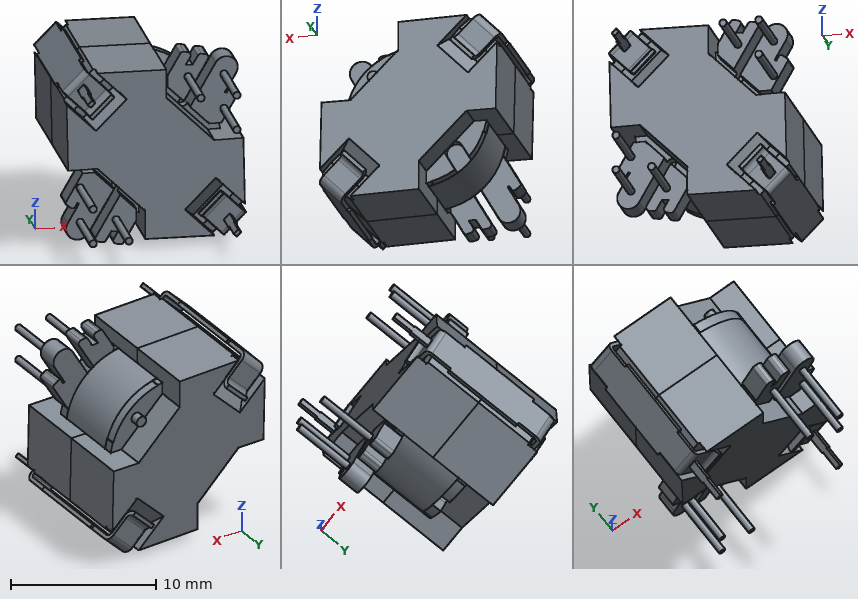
import cadquery as cq
import math


core_half_length = 5.32
arm_inner = 0.74
arm_tip = 6.17
arm_corner = 6.28
corner_inset = 4.25
waist_corner = 4.11
window_half_length = 3.14
post_radius = 2.5

seat_half_width = 1.53
ramp_start = 4.43
ramp_foot = (5.48, 4.53)
ridge = (6.44, 4.67)
seat_edge = (7.45, 4.48)
seat_overrun = 8.34

tube_radius = 2.78
flange_radius = 5.05
winding_radius = 5.0
winding_half_length = 2.42
block_depth = 1.61
pin_pitch = 2.53
pin_diameter = 0.51
pin_end = 8.37
peg_centre = 2.89
peg_diameter = 0.78
peg_height = 0.67

block_left = 1.1
block_low = 1.49
block_inner_sum = 5.5
finger_angle = 60.0
finger_1 = (-1.67, -0.9)
finger_2 = (-0.47, 0.3)
lobe = (0.92, 2.6)
hook = (2.72, 3.49)
finger_1_top = (7.06, 7.28)
finger_2_top = (7.45, 7.73)
lobe_centre_along = 7.37
hook_top = (6.31, 6.23)
finger_gap_floor = (6.34, 6.53)
hook_gap_floor = 5.78
finger_round = 0.25
hook_round = 0.2
slot_start = 3.7
wide_slot_edge = 1.6

sheet = 0.3
strap_outer = 8.06
strap_half_width = 1.08
wide_half_width = 1.29
wide_half_length = 3.02
leg_height = 5.12
lip_height = 5.53
front_bend_radius = 0.42
rear_bend_radius = 0.6
lip_hollow_radius = 0.42
lip_bend_start = 6.0
tail_centre = 7.27
tail_half_width = 0.3
tail_tip_half_width = 0.22
tail_step = 6.63
tail_end = 8.17

AXIS_START = (0, 0, 0)
AXIS_END = (0, 1, 0)


def half_turn(shape):
    return shape.rotate(AXIS_START, AXIS_END, 180)


def disc(radius, y_low, y_high):
    return cq.Workplane("XZ", origin=(0, y_high, 0)).circle(radius).extrude(y_high - y_low)


def prism(outline, y_low, y_high):
    return cq.Workplane("XZ", origin=(0, y_high, 0)).polyline(outline).close().extrude(y_high - y_low)


def diagonal_plane():
    """Local x runs along the clip diagonal (+X, -Z) and local y along Y."""
    return cq.Workplane(cq.Plane(origin=(0, 0, 0), xDir=(1, 0, -1), normal=(1, 0, 1)))


def diagonal_box(x_low, x_high, y_low, y_high, half_width):
    centre = ((x_low + x_high) / 2, (y_low + y_high) / 2)
    sketch = diagonal_plane().center(*centre).rect(x_high - x_low, y_high - y_low)
    return sketch.extrude(half_width, both=True)


def finger_point(across, along):
    """Turn a place across and along the fingers into X and Z."""
    c = math.cos(math.radians(finger_angle))
    s = math.sin(math.radians(finger_angle))
    return (across * s + along * c, along * s - across * c)


def clip_seat():
    outline = [
        (ramp_start, -core_half_length),
        (ramp_foot[0], -ramp_foot[1]),
        (ridge[0], -ridge[1]),
        (seat_edge[0], -seat_edge[1]),
        (seat_overrun, -seat_edge[1]),
        (seat_overrun, -core_half_length),
    ]
    return diagonal_plane().polyline(outline).close().extrude(seat_half_width, both=True)


def front_core():
    side = [
        (arm_inner, arm_tip),
        (arm_inner, waist_corner),
        (waist_corner, arm_inner),
        (arm_tip, arm_inner),
        (arm_corner, -corner_inset),
        (corner_inset, -arm_corner),
    ]
    outline = side + [(-x, -z) for x, z in side]
    core = prism(outline, -core_half_length, 0)
    window = disc(flange_radius, -window_half_length, 0).cut(disc(post_radius, -window_half_length, 0))
    seat = clip_seat()
    return core.cut(window).cut(seat).cut(half_turn(seat))


def finger(sides, floor, top, corner_radius):
    """One leaning finger with its two outer corners rounded."""
    outline = [(sides[0], floor), (sides[0], top[0]), (sides[1], top[1]), (sides[1], floor)]
    bar = prism(outline, -winding_half_length - block_depth, -winding_half_length)
    bar = bar.edges("|Y and (not <Z)").fillet(corner_radius)
    return bar.rotate(AXIS_START, AXIS_END, 90 - finger_angle)


def terminal_block():
    far_end = -winding_half_length - block_depth
    rise = math.tan(math.radians(finger_angle))
    left_line = finger_point(finger_1[0], 0)
    right_line = finger_point(hook[1], 0)
    left_shoulder = left_line[1] + (block_left - left_line[0]) * rise
    right_foot = right_line[0] + (block_low - right_line[1]) / rise

    lobe_middle = (lobe[0] + lobe[1]) / 2
    lobe_radius = (lobe[1] - lobe[0]) / 2
    base = [
        (block_left, block_inner_sum - block_left),
        (block_left, left_shoulder),
        finger_point(finger_1[0], finger_gap_floor[0]),
        finger_point(finger_1[1], finger_gap_floor[0]),
        finger_point(finger_2[0], finger_gap_floor[1]),
        finger_point(finger_2[1], finger_gap_floor[1]),
        finger_point(finger_2[1], hook_gap_floor),
        finger_point(hook[1], hook_gap_floor),
        (right_foot, block_low),
        (block_inner_sum - block_low, block_low),
    ]
    block = prism(base, far_end, -winding_half_length)
    lobe_outline = (
        cq.Workplane("XZ", origin=(0, -winding_half_length, 0))
        .moveTo(*finger_point(lobe[0], hook_gap_floor))
        .lineTo(*finger_point(lobe[0], lobe_centre_along))
        .threePointArc(
            finger_point(lobe_middle, lobe_centre_along + lobe_radius),
            finger_point(lobe[1], lobe_centre_along),
        )
        .lineTo(*finger_point(lobe[1], hook_gap_floor))
        .close()
    )
    block = block.union(lobe_outline.extrude(block_depth))
    block = block.union(finger(finger_1, hook_gap_floor, finger_1_top, finger_round))
    block = block.union(finger(finger_2, hook_gap_floor, finger_2_top, finger_round))
    return block.union(finger(hook, hook_gap_floor - hook_round, hook_top, hook_round))


def wire_slot(far_side, y_low, y_high):
    near_side = finger_2[1]
    middle = (near_side + far_side) / 2
    radius = (far_side - near_side) / 2
    end = lobe_centre_along
    outline = (
        cq.Workplane("XZ", origin=(0, y_high, 0))
        .moveTo(*finger_point(near_side, end))
        .lineTo(*finger_point(near_side, slot_start))
        .threePointArc(
            finger_point(middle, slot_start - radius),
            finger_point(far_side, slot_start),
        )
        .lineTo(*finger_point(far_side, end))
        .close()
    )
    return outline.extrude(y_high - y_low)


def flange_relief():
    """Trims the flange rims to the winding radius where they run over a terminal block."""
    size = flange_radius
    corner_box = prism(
        [(block_left, block_low), (size, block_low), (size, size), (block_left, size)],
        -window_half_length,
        window_half_length,
    )
    return corner_box.cut(disc(winding_radius, -window_half_length, window_half_length))


def terminal_pins():
    far_end = -winding_half_length - block_depth
    places = [(pin_pitch, 2 * pin_pitch), (2 * pin_pitch, 2 * pin_pitch), (2 * pin_pitch, pin_pitch)]
    sketch = cq.Workplane("XZ", origin=(0, far_end, 0)).pushPoints(places)
    return sketch.circle(pin_diameter / 2).extrude(pin_end + far_end)


def make_bobbin():
    body = disc(tube_radius, -window_half_length, window_half_length)
    body = body.union(disc(flange_radius, winding_half_length, window_half_length))
    body = body.union(disc(flange_radius, -window_half_length, -winding_half_length))
    relief = flange_relief()
    body = body.cut(relief).cut(half_turn(relief))

    block = terminal_block()
    body = body.union(block).union(half_turn(block))
    low_slot = wire_slot(lobe[0], -winding_half_length - block_depth, -winding_half_length)
    high_slot = wire_slot(wide_slot_edge, winding_half_length, window_half_length)
    body = body.cut(low_slot).cut(half_turn(low_slot)).cut(half_turn(high_slot))
    peg_base = cq.Workplane("XZ", origin=(0, window_half_length, 0)).center(peg_centre, peg_centre)
    body = body.union(peg_base.circle(peg_diameter / 2).extrude(-peg_height))

    pins = terminal_pins()
    body = body.union(pins).union(half_turn(pins))
    return body.cut(disc(post_radius, -window_half_length, window_half_length))


def make_winding():
    coil = disc(winding_radius, -winding_half_length, winding_half_length)
    return coil.cut(disc(tube_radius, -winding_half_length, winding_half_length))


def half_clip_strip(bend_radius):
    """Bent strip from the middle of the strap to the lip of a leg on the -Y side."""
    strap_inner = strap_outer - sheet
    leg_inner = leg_height - sheet
    inside_radius = bend_radius - sheet
    lip_radius = lip_hollow_radius + sheet
    outline = (
        diagonal_plane()
        .moveTo(strap_outer, 0)
        .lineTo(strap_outer, bend_radius - leg_height)
        .radiusArc((strap_outer - bend_radius, -leg_height), bend_radius)
        .lineTo(lip_bend_start, -leg_height)
        .radiusArc((lip_bend_start - lip_hollow_radius, -lip_height), -lip_hollow_radius)
        .lineTo(lip_bend_start - lip_radius, -lip_height)
        .radiusArc((lip_bend_start, -leg_inner), lip_radius)
        .lineTo(strap_inner - inside_radius, -leg_inner)
        .radiusArc((strap_inner, inside_radius - leg_inner), -inside_radius)
        .lineTo(strap_inner, 0)
        .close()
    )
    return outline.extrude(strap_half_width, both=True)


def clip_tail():
    """Solder tail: a bar that steps down to a narrower tip."""
    inner = tail_centre - sheet / 2
    outer = tail_centre + sheet / 2
    root = diagonal_box(inner, outer, -tail_step, -leg_height, tail_half_width)
    tip = diagonal_box(inner, outer, -tail_end, -tail_step, tail_tip_half_width)
    return root.union(tip)


def make_clip():
    front_half = half_clip_strip(front_bend_radius)
    rear_half = half_clip_strip(rear_bend_radius).mirror("XZ")
    wide_part = diagonal_box(
        strap_outer - sheet, strap_outer, -wide_half_length, wide_half_length, wide_half_width
    )
    return front_half.union(rear_half).union(wide_part).union(clip_tail())


core_front = front_core()
core_rear = core_front.mirror("XZ")
bobbin = make_bobbin()
winding = make_winding()
clips = [make_clip().rotate(AXIS_START, AXIS_END, angle) for angle in (0, 180)]

bodies = [core_front, core_rear, bobbin, winding, *clips]
result = cq.Compound.makeCompound([body.solids().val() for body in bodies])